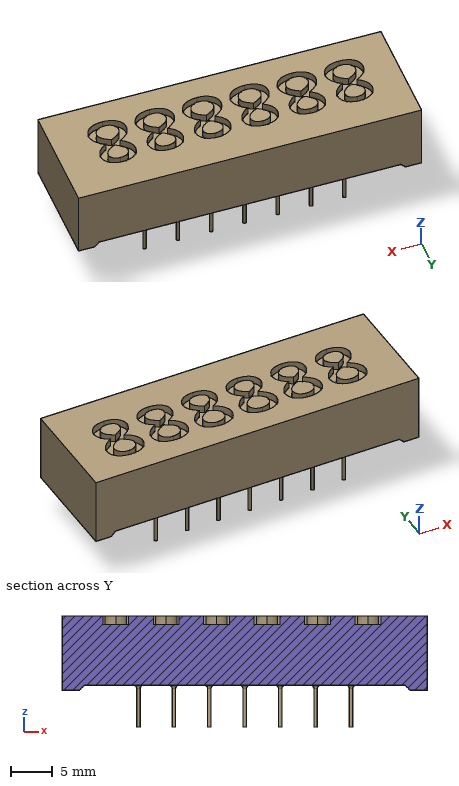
import cadquery as cq
import math

LENGTH = 43.7
WIDTH = 14.2
TOTAL_HEIGHT = 13.3
HOUSING_HEIGHT = 8.9
FOOT_HEIGHT = 0.6
FOOT_LENGTH = 2.05

PIN_DIAMETER = 0.45
PINS_PER_ROW = 7
PIN_PITCH = 4.25
PIN_ROW_SPACING = 10.25
FLARE_RADIUS = 0.4

DIGIT_COUNT = 6
DIGIT_PITCH = 6.05
DIGIT_ROW_X = -0.35
DIGIT_WAIST_Y = -0.4
DIGIT_DEPTH = 1.0

OUTER_LOBES = [
    (2.25, 1.75, 3.45, 0.9, 0.0),
    (2.4, -1.92, -3.7, 0.9, 0.0),
]
INNER_LOBES = [
    (1.25, 1.8, 2.7, 0.0, 0.5),
    (1.4, -1.85, -2.95, 0.0, -0.5),
]
CROWN_FULLNESS = 0.6
SIDE_FULLNESS = 0.45
NECK_FULLNESS = 0.5
NECK_SLOPE = 0.5

TOP_Z = HOUSING_HEIGHT
RELIEF_Z = FOOT_HEIGHT
PIN_TIP_Z = HOUSING_HEIGHT - TOTAL_HEIGHT


def make_housing():
    """Block from z = 0 up, with the relief running through along Y."""
    half = LENGTH / 2
    foot_edge = half - FOOT_LENGTH
    relief_edge = foot_edge - FOOT_HEIGHT
    return (
        cq.Workplane("XZ")
        .polyline([
            (-half, 0),
            (-foot_edge, 0),
            (-relief_edge, RELIEF_Z),
            (relief_edge, RELIEF_Z),
            (foot_edge, 0),
            (half, 0),
            (half, TOP_Z),
            (-half, TOP_Z),
        ])
        .close()
        .extrude(WIDTH / 2, both=True)
    )


def make_pins():
    """All pins, each revolved from a half profile with a concave flare at the root."""
    radius = PIN_DIAMETER / 2
    flare_z = RELIEF_Z - FLARE_RADIUS
    arc_reach = FLARE_RADIUS * (1 - math.cos(math.pi / 4))
    pin = (
        cq.Workplane("XZ")
        .moveTo(0, PIN_TIP_Z)
        .lineTo(radius, PIN_TIP_Z)
        .lineTo(radius, flare_z)
        .threePointArc((radius + arc_reach, RELIEF_Z - arc_reach), (radius + FLARE_RADIUS, RELIEF_Z))
        .lineTo(0, RELIEF_Z)
        .close()
        .revolve(360, (0, 0), (0, 1))
    )
    return (
        cq.Workplane("XY")
        .rarray(PIN_PITCH, PIN_ROW_SPACING, PINS_PER_ROW, 2)
        .eachpoint(lambda place: pin.val().moved(place))
    )


def make_lobe(half_width, side_y, crown_y, neck_half_width, neck_y):
    """Rounded loop of a digit, symmetric about x = 0 and tapering to its neck."""
    crown_x = half_width * CROWN_FULLNESS
    shoulder_y = side_y + (crown_y - side_y) * CROWN_FULLNESS
    hip_y = side_y + (neck_y - side_y) * SIDE_FULLNESS
    flare = (half_width - neck_half_width) * NECK_FULLNESS
    throat_x = neck_half_width + flare
    throat_y = neck_y + math.copysign(flare * NECK_SLOPE, crown_y - neck_y)

    flank = [(neck_half_width, neck_y), (throat_x, throat_y), (half_width, hip_y), (half_width, side_y)]
    crown = [(half_width, side_y), (half_width, shoulder_y), (crown_x, crown_y), (0, crown_y)]

    def mirrored(curve):
        return [(-x, y) for x, y in reversed(curve)]

    outline = cq.Workplane("XY", origin=(0, 0, TOP_Z)).moveTo(*flank[0])
    for curve in (flank, crown, mirrored(crown), mirrored(flank)):
        outline = outline.bezier(curve[1:], includeCurrent=True)
    return outline.close().extrude(-DIGIT_DEPTH)


def make_digits():
    """Solid strokes of every digit, to be cut from the top face."""
    upper, lower = [make_lobe(*sizes) for sizes in OUTER_LOBES]
    digit = upper.union(lower)
    for sizes in INNER_LOBES:
        digit = digit.cut(make_lobe(*sizes))
    return (
        cq.Workplane("XY")
        .center(DIGIT_ROW_X, DIGIT_WAIST_Y)
        .rarray(DIGIT_PITCH, 0.45, DIGIT_COUNT, 1)
        .eachpoint(lambda place: digit.val().moved(place))
    )


result = make_housing().union(make_pins()).cut(make_digits())